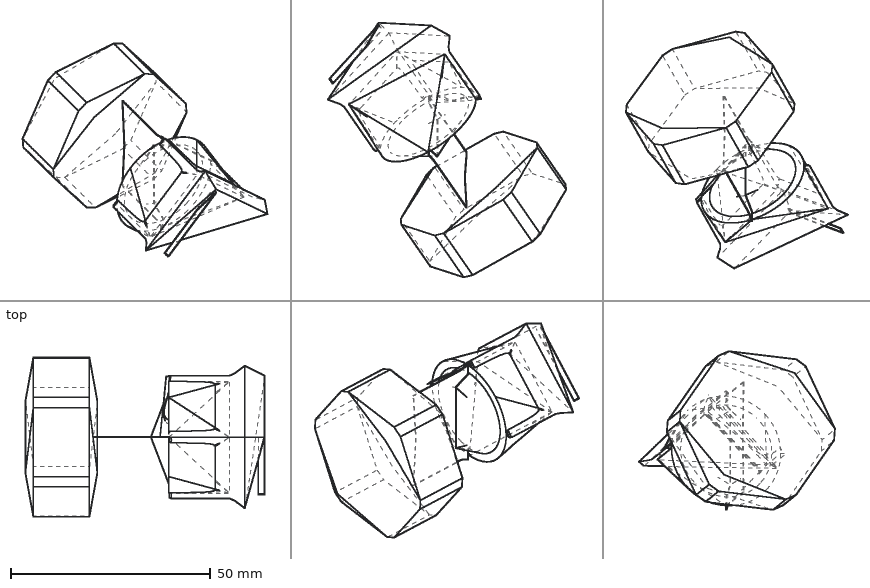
import cadquery as cq
import math


head_length = 18.05
head_bevel = 2.0
head_width = 40.0
head_radius = head_width / 2
corner_turn = 4.2
corner_clip = 4.2
ridge_radius = 16.2

sheet_thickness = 0.2
web_start = 16.8
web_half_height = 14.05
web_flare_start = 32.75
web_flare_bend = 33.8
web_bend_half_height = 14.3
web_end = 35.6
web_end_half_height = 15.2

nose_start = 31.45
nose_edge_half_height = 9.55
nose_radius = 11.75

plug_start = 35.95
plug_end = 51.2
plug_radius = web_half_height

collar_start = 36.05
collar_bevel_end = 36.55
collar_front_radius = 15.2
collar_radius = 15.4
lip_bend = 52.45
lip_bend_radius = 15.95
lip_peak = 55.0
lip_radius = 17.9
total_length = 60.0
wing_tip_x = 35.3
wing_depth = 1.2

strip_width = 1.6
strip_reach = 14.45


def polar(x, radius, degrees):
    """Point at a radius and direction around the X axis."""
    angle = math.radians(degrees)
    return cq.Vector(x, radius * math.cos(angle), radius * math.sin(angle))


def polyhedron(faces):
    """Solid bounded by flat faces, each given as a list of corners."""
    flat_faces = [cq.Face.makeFromWires(cq.Wire.makePolygon(corners, close=True)) for corners in faces]
    solid = cq.Solid.makeSolid(cq.Shell.makeShell(flat_faces)).fix()
    return cq.Workplane(obj=solid)


def tetrahedron(a, b, c, d):
    return polyhedron([[a, b, c], [a, b, d], [a, c, d], [b, c, d]])


def nearest_apex(start, end, apexes):
    """Index of the apex whose direction best matches the middle of a ring edge."""
    matches = [(start.y + end.y) * a.y + (start.z + end.z) * a.z for a in apexes]
    return matches.index(max(matches))


def tapered_solid(ring, apexes):
    """Solid whose ring edges each taper to the nearer of two apexes."""
    count = len(ring)
    faces = [ring]
    chosen = [nearest_apex(ring[i], ring[(i + 1) % count], apexes) for i in range(count)]
    for i in range(count):
        faces.append([ring[i], ring[(i + 1) % count], apexes[chosen[i]]])
        if chosen[i] != chosen[i - 1]:
            faces.append([ring[i], apexes[chosen[i]], apexes[chosen[i - 1]]])
    return polyhedron(faces)


def round_tapered_solid(x, radius, apexes, splits):
    """Solid that tapers from a circle to apexes; the arc from splits[i] to splits[i + 1] meets apexes[i]."""
    center = cq.Vector(x, 0, 0)
    pieces = []
    for i, apex in enumerate(apexes):
        start, end = splits[i], splits[i + 1]
        first, last = polar(x, radius, start), polar(x, radius, end)
        sector = cq.Wire.assembleEdges([
            cq.Edge.makeLine(center, first),
            cq.Edge.makeThreePointArc(first, polar(x, radius, (start + end) / 2), last),
            cq.Edge.makeLine(last, center),
        ])
        tip = cq.Vertex.makeVertex(*apex.toTuple())
        pieces.append(cq.Workplane(obj=cq.occ_impl.shapes.loft(sector, tip, cap=True, ruled=True)))
        pieces.append(tetrahedron(center, first, apexes[i - 1], apex))
    if len(apexes) > 2:
        pieces.append(tetrahedron(center, *apexes))
    solid = pieces[0]
    for piece in pieces[1:]:
        solid = solid.union(piece)
    return solid.clean()


def triangle(x, radius):
    """Half-square section with corners at +Y, +Z and -Y."""
    return [polar(x, radius, degrees) for degrees in (0, 90, 180)]


def make_head():
    def hexagon(x):
        corners = [corner_turn + 60 * i for i in range(6)]
        return [polar(x, head_radius, c + side * corner_clip) for c in corners for side in (-1, 1)]

    def ridge(x):
        ridge_turn = corner_turn - 60
        return [polar(x, ridge_radius, ridge_turn), polar(x, ridge_radius, ridge_turn + 180)]

    front = hexagon(head_bevel)
    back = hexagon(head_length - head_bevel)
    prism = cq.Workplane(obj=cq.Solid.makeLoft(
        [cq.Wire.makePolygon(points, close=True) for points in (front, back)], True))
    front_cap = tapered_solid(front, ridge(0))
    back_cap = tapered_solid(back, ridge(head_length))
    return prism.union(front_cap).union(back_cap)


def make_nose():
    edge = [polar(nose_start, nose_edge_half_height, degrees) for degrees in (90, 270)]
    return round_tapered_solid(plug_start, nose_radius, edge, (0, 180, 360))


def make_plug():
    corners = triangle(plug_end, plug_radius)
    return round_tapered_solid(plug_start, plug_radius, corners, (-90, 45, 135, 270))


def make_web():
    upper = [
        (web_start, web_half_height),
        (web_flare_start, web_half_height),
        (web_flare_bend, web_bend_half_height),
        (web_end, web_end_half_height),
    ]
    lower = [(x, -z) for x, z in reversed(upper)]
    return (
        cq.Workplane("XZ").polyline(upper + lower).close()
        .extrude(sheet_thickness / 2, both=True)
    )


def make_wing():
    """Thin leaf in front of the collar, reaching from the web to the +Y corner."""
    tip = polar(web_flare_bend, web_bend_half_height, 90)
    side = polar(wing_tip_x, collar_front_radius, 0)
    top = polar(collar_bevel_end, collar_radius, 90)
    root = polar(collar_bevel_end, collar_radius, 0)
    inner = polar(collar_bevel_end, collar_radius - wing_depth, 90)
    return polyhedron([
        [tip, side, top], [side, root, top], [tip, top, inner],
        [tip, inner, side], [side, inner, root], [top, root, inner],
    ])


def make_collar():
    sections = [
        (collar_start, collar_front_radius),
        (collar_bevel_end, collar_radius),
        (plug_end, collar_radius),
        (lip_bend, lip_bend_radius),
        (lip_peak, lip_radius),
    ]
    wires = [cq.Wire.makePolygon(triangle(x, radius), close=True) for x, radius in sections]
    sleeve = cq.Workplane(obj=cq.Solid.makeLoft(wires, True))

    left, top, right = triangle(lip_peak, lip_radius)
    rim_left, rim_top, _ = triangle(total_length, collar_radius)
    slanted_end = polyhedron([
        [left, top, right], [left, rim_left, rim_top, top],
        [right, top, rim_top], [left, right, rim_left], [right, rim_top, rim_left],
    ])
    return sleeve.union(slanted_end).union(make_wing())


def make_strip():
    inner_reach = strip_reach - sheet_thickness * math.sqrt(2)
    profile = [(-strip_reach, 0), (0, strip_reach), (0, inner_reach), (-inner_reach, 0)]
    return (
        cq.Workplane("YZ", origin=(total_length - strip_width, 0, 0))
        .polyline(profile).close().extrude(strip_width)
    )


head = make_head()
nose = make_nose()
plug = make_plug()
strip = make_strip()
web = make_web().cut(head).cut(nose)
collar = make_collar().cut(plug).cut(nose).cut(web).cut(strip)

result = cq.Compound.makeCompound([
    *head.solids().vals(),
    *web.solids().vals(),
    *nose.solids().vals(),
    *plug.solids().vals(),
    *collar.solids().vals(),
    strip.val(),
])